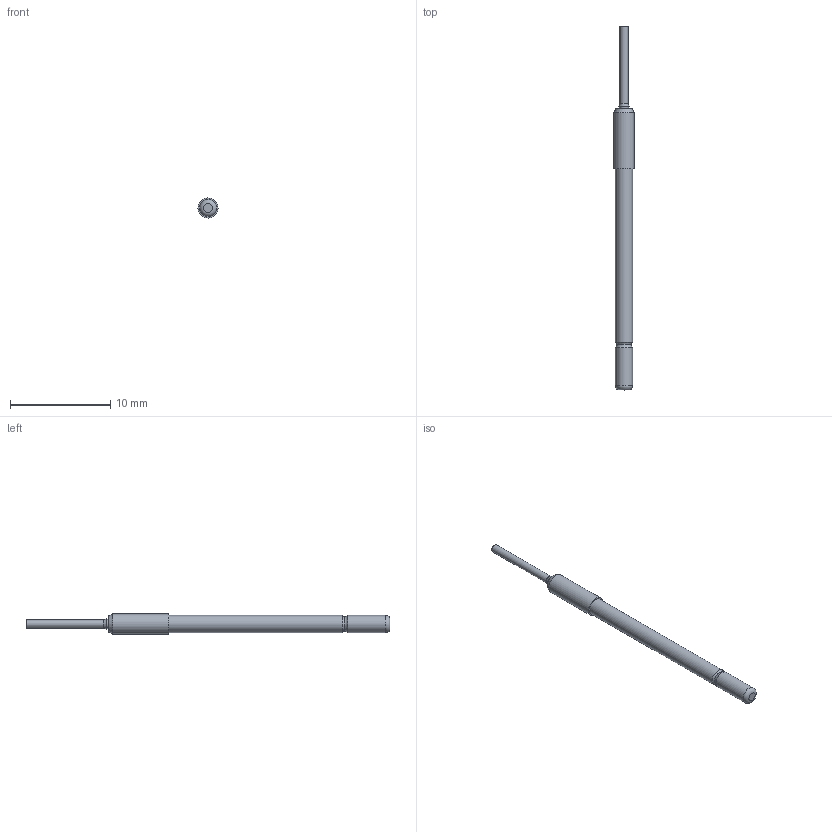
import cadquery as cq

TOTAL_LENGTH = 36.3

WIRE_RADIUS = 0.4
COLLAR_RADIUS = 0.5
NECK_RADIUS = 0.45
SLEEVE_RADIUS = 1.0
BARREL_RADIUS = 0.85
GROOVE_RADIUS = 0.7

TIP_LENGTH = 4.23
GROOVE_WIDTH = 0.54
GROOVE_FLOOR_OFFSET = 0.33
SLEEVE_LENGTH = 6.0
NECK_LENGTH = 0.25
COLLAR_LENGTH = 0.3
WIRE_LENGTH = 7.7
TIP_FILLET = 0.41

SLEEVE_CHAMFER_DEPTH = 0.2
SLEEVE_CHAMFER_LENGTH = 0.4

groove_start = TIP_LENGTH
groove_floor = groove_start + GROOVE_FLOOR_OFFSET
groove_depth = BARREL_RADIUS - GROOVE_RADIUS
groove_end = groove_start + GROOVE_WIDTH
wire_start = TOTAL_LENGTH - WIRE_LENGTH
collar_start = wire_start - COLLAR_LENGTH
sleeve_end = collar_start - NECK_LENGTH
sleeve_start = sleeve_end - SLEEVE_LENGTH


def arc_radius(length, rise):
    """Radius of an arc that leaves the axial direction and rises over the given length."""
    return (length**2 + rise**2) / (2 * rise)


def make_barrel():
    """Barrel with a rounded end and a shallow groove of two concave arcs meeting at its floor."""
    return (
        cq.Workplane("XY")
        .moveTo(0, 0)
        .lineTo(BARREL_RADIUS - TIP_FILLET, 0)
        .radiusArc((BARREL_RADIUS, TIP_FILLET), -TIP_FILLET)
        .lineTo(BARREL_RADIUS, groove_start)
        .radiusArc((GROOVE_RADIUS, groove_floor), arc_radius(GROOVE_FLOOR_OFFSET, groove_depth))
        .radiusArc((BARREL_RADIUS, groove_end), arc_radius(groove_end - groove_floor, groove_depth))
        .lineTo(BARREL_RADIUS, sleeve_start)
        .lineTo(0, sleeve_start)
        .close()
        .revolve(360, (0, 0, 0), (0, 1, 0))
    )


def make_sleeve_and_wire():
    """Sleeve with a conical lead-in, a short neck, a tapered collar and the wire."""
    return (
        cq.Workplane("XY")
        .moveTo(0, sleeve_start)
        .lineTo(SLEEVE_RADIUS, sleeve_start)
        .lineTo(SLEEVE_RADIUS, sleeve_end - SLEEVE_CHAMFER_LENGTH)
        .lineTo(SLEEVE_RADIUS - SLEEVE_CHAMFER_DEPTH, sleeve_end)
        .lineTo(NECK_RADIUS, sleeve_end)
        .lineTo(NECK_RADIUS, collar_start)
        .lineTo(COLLAR_RADIUS, collar_start)
        .lineTo(WIRE_RADIUS, wire_start)
        .lineTo(WIRE_RADIUS, TOTAL_LENGTH)
        .lineTo(0, TOTAL_LENGTH)
        .close()
        .revolve(360, (0, 0, 0), (0, 1, 0))
    )


result = make_barrel().union(make_sleeve_and_wire())